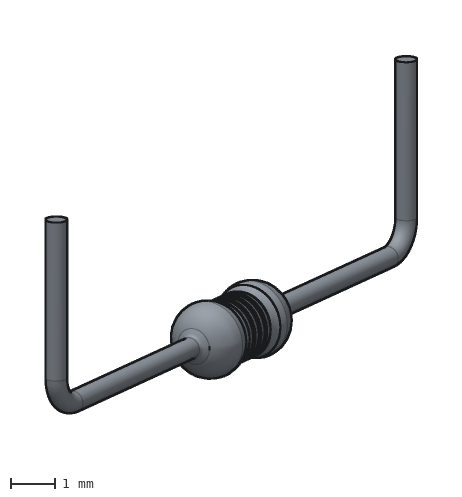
import cadquery as cq
import math

overall_length = 15.5
overall_height = 5.4

wire_radius = 0.25
bend_radius = 0.75

body_half_length = 1.77
cap_radius = 0.9
cap_peak = 0.96
cap_arc_radius = 0.68
waist_radius = 0.767
waist_half_length = 0.46
flare_end = 0.73
neck_start = 1.61

band_radius = 0.78
band_width = 0.15
band_pitch = 0.25
band_count = 4

leg_y = overall_length / 2 - wire_radius
leg_top = overall_height - cap_radius


def cap_profile_radius(y):
    """Radius of the rounded cap at a distance y from the middle of the body."""
    arc_centre = cap_radius - cap_arc_radius
    return arc_centre + math.sqrt(cap_arc_radius**2 - (y - cap_peak) ** 2)


def make_half_body():
    """Half of the body towards +Y, from the waist to the neck on the wire."""
    shoulder_middle = (flare_end + cap_peak) / 2
    cap_middle = (cap_peak + neck_start) / 2
    return (
        cq.Workplane("XY")
        .lineTo(waist_radius, 0)
        .lineTo(waist_radius, waist_half_length)
        .tangentArcPoint((cap_profile_radius(flare_end), flare_end), relative=False)
        .threePointArc(
            (cap_profile_radius(shoulder_middle), shoulder_middle),
            (cap_radius, cap_peak),
        )
        .threePointArc(
            (cap_profile_radius(cap_middle), cap_middle),
            (cap_profile_radius(neck_start), neck_start),
        )
        .spline(
            [(wire_radius, body_half_length)],
            tangents=[(-1, 1), (0, 1)],
            includeCurrent=True,
        )
        .lineTo(0, body_half_length)
        .close()
        .revolve(360, (0, 0), (0, 1))
    )


def make_bands():
    """Evenly spaced colour bands around the waist."""
    first_centre = -(band_count - 1) / 2 * band_pitch
    bands = cq.Workplane("XZ")
    for i in range(band_count):
        centre = first_centre + i * band_pitch
        band = (
            cq.Workplane("XZ", origin=(0, centre, 0))
            .circle(band_radius)
            .extrude(band_width / 2, both=True)
        )
        bands = bands.add(band)
    return bands.combine()


def make_half_wire():
    """Half of the wire: straight from the body, round the bend and up the leg."""
    bend_start = leg_y - bend_radius
    bend_mid_y = bend_start + bend_radius * math.sin(math.pi / 4)
    bend_mid_z = bend_radius * (1 - math.cos(math.pi / 4))
    path = (
        cq.Workplane("YZ")
        .lineTo(bend_start, 0)
        .threePointArc((bend_mid_y, bend_mid_z), (leg_y, bend_radius))
        .lineTo(leg_y, leg_top)
    )
    return cq.Workplane("XZ").circle(wire_radius).sweep(path)


half = make_half_body().union(make_half_wire())
result = half.union(half.mirror("XZ")).union(make_bands())